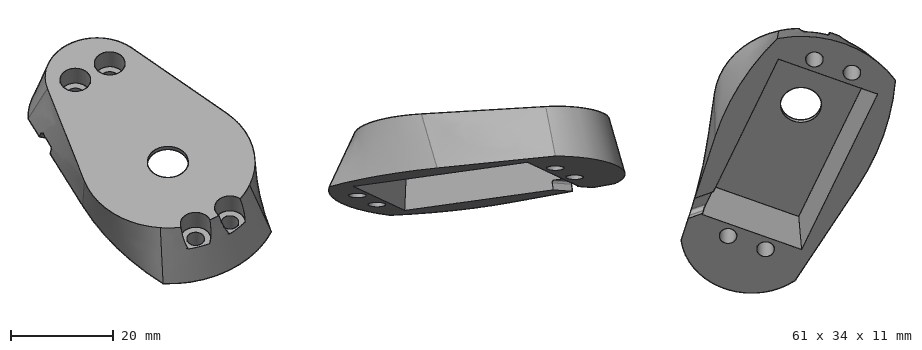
import cadquery as cq
import math

length = 60.95
height = 11.0
front_reach = 22.0
back_reach = length - front_reach

head_radius = 17.0
tail_radius = 10.1
tail_center_x = -25.85
head_split_x = 13.55

tail_corner = (-31.95, 12.1)
side_bend = (-7.3, 15.05)
head_corner = (18.05, 12.5)

main_hole_diameter = 8.0
screw_diameter = 3.4
counterbore_diameter = 6.0
counterbore_depth = 4.45
screw_tail_x = -27.5
screw_spacing_x = 43.9
screw_spacing_y = 7.9

roof_thickness = 1.0
pocket_width = 21.0
pocket_overlap = 0.35
pocket_draft = 6.0

notch_start_x = -24.55
notch_side_y = -10.5
notch_width = 5.35
notch_height = 1.9
notch_large_radius = 0.9
notch_small_radius = 0.5
notch_outer_reach = 3.65
notch_inner_reach = 0.3


def mirrored(point):
    return (point[0], -point[1])


def top_outline():
    tangent_sine = (head_radius - tail_radius) / -tail_center_x
    tangent_cosine = math.sqrt(1 - tangent_sine**2)
    tail_tangent = (tail_center_x - tail_radius * tangent_sine, tail_radius * tangent_cosine)
    head_tangent = (-head_radius * tangent_sine, head_radius * tangent_cosine)
    head_split = (head_split_x, math.sqrt(head_radius**2 - head_split_x**2))
    return (
        cq.Workplane("XY", origin=(0, 0, height))
        .moveTo(*mirrored(tail_tangent))
        .threePointArc((tail_center_x - tail_radius, 0), tail_tangent)
        .lineTo(*head_tangent)
        .threePointArc((0, head_radius), head_split)
        .threePointArc((head_radius, 0), mirrored(head_split))
        .threePointArc((0, -head_radius), mirrored(head_tangent))
        .close()
        .val()
    )


def base_outline():
    line_angle = math.atan2(side_bend[1] - tail_corner[1], side_bend[0] - tail_corner[0])
    chord_x = head_corner[0] - side_bend[0]
    chord_y = head_corner[1] - side_bend[1]
    chord_angle = math.atan2(chord_y, chord_x)
    bulge = math.tan((line_angle - chord_angle) / 2)
    side_middle = (
        side_bend[0] + (chord_x - bulge * chord_y) / 2,
        side_bend[1] + (chord_y + bulge * chord_x) / 2,
    )
    return (
        cq.Workplane("XY")
        .moveTo(*mirrored(tail_corner))
        .threePointArc((-back_reach, 0), tail_corner)
        .lineTo(*side_bend)
        .threePointArc(side_middle, head_corner)
        .threePointArc((front_reach, 0), mirrored(head_corner))
        .threePointArc(mirrored(side_middle), mirrored(side_bend))
        .close()
        .val()
    )


def pocket():
    gap = counterbore_diameter / 2 - pocket_overlap
    pocket_length = screw_spacing_x - 2 * gap
    return (
        cq.Workplane("XY")
        .center(screw_tail_x + screw_spacing_x / 2, 0)
        .rect(pocket_length, pocket_width)
        .extrude(height - roof_thickness, taper=pocket_draft)
    )


def screw_holes():
    centers = [
        (screw_tail_x + end * screw_spacing_x, side * screw_spacing_y / 2)
        for end in (0, 1)
        for side in (-1, 1)
    ]
    plane = cq.Workplane("XY").pushPoints(centers)
    shanks = plane.circle(screw_diameter / 2).extrude(height)
    heads = (
        cq.Workplane("XY", origin=(0, 0, height - counterbore_depth))
        .pushPoints(centers)
        .circle(counterbore_diameter / 2)
        .extrude(counterbore_depth)
    )
    return shanks.union(heads)


def cable_notch():
    left = notch_start_x + notch_inner_reach
    right = left + notch_width
    section = (
        cq.Workplane("XZ", origin=(0, notch_side_y + notch_inner_reach, 0))
        .moveTo(left, 0)
        .lineTo(left, notch_height - notch_large_radius)
        .radiusArc((left + notch_large_radius, notch_height), notch_large_radius)
        .lineTo(right - notch_small_radius, notch_height)
        .radiusArc((right, notch_height - notch_small_radius), notch_small_radius)
        .lineTo(right, 0)
        .close()
        .val()
    )
    run = notch_inner_reach + notch_outer_reach
    return cq.Solid.extrudeLinear(section, [], cq.Vector(-run, -run, 0))


body = cq.Workplane(cq.Solid.makeLoft([base_outline(), top_outline()], True))
main_hole = cq.Workplane("XY").circle(main_hole_diameter / 2).extrude(height)

result = body.cut(pocket()).cut(main_hole).cut(screw_holes()).cut(cable_notch())